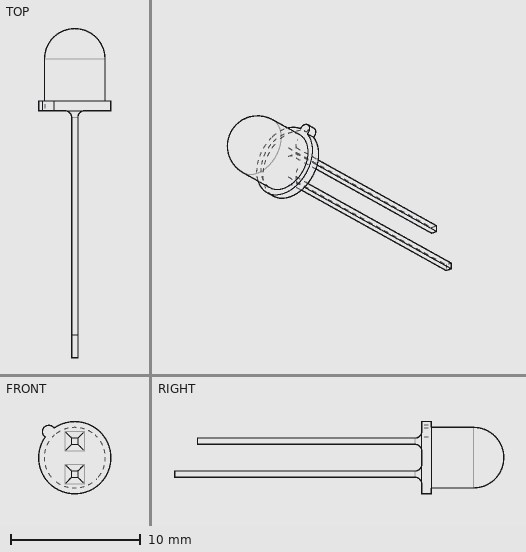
import cadquery as cq
import math


flange_diameter = 5.59
flange_thickness = 0.76
lens_diameter = 4.7
body_length = 6.35

tab_radius = 0.5
tab_angle = 135.0
tab_center_distance = 2.835

overall_length = 25.4
lead_width = 0.5
lead_pitch = 2.54
lead_length_difference = 1.76
flare_radius = 0.5

lens_radius = lens_diameter / 2
dome_start = body_length - lens_radius
long_lead_length = overall_length - body_length
short_lead_length = long_lead_length - lead_length_difference


def make_lens():
    """Cylinder with a hemispherical tip, revolved about the Y axis."""
    arc_offset = lens_radius * math.sqrt(0.5)
    return (
        cq.Workplane("ZY")
        .lineTo(lens_radius, 0)
        .lineTo(lens_radius, dome_start)
        .threePointArc((arc_offset, dome_start + arc_offset), (0, body_length))
        .close()
        .revolve(360, (0, 0, 0), (0, 1, 0))
    )


def make_disc(radius, x, z):
    """Disc as thick as the flange, standing on the Y = 0 plane."""
    disc = cq.Workplane("XZ").circle(radius).extrude(-flange_thickness)
    return disc.translate((x, 0, z))


def make_flange():
    """Round flange with the polarity tab at its upper left."""
    angle = math.radians(tab_angle)
    tab_x = tab_center_distance * math.cos(angle)
    tab_z = tab_center_distance * math.sin(angle)
    return make_disc(flange_diameter / 2, 0, 0).union(make_disc(tab_radius, tab_x, tab_z))


def make_flare_profile(plane):
    """Prism whose concave sides widen toward Y = 0; local y of the plane must run along Y."""
    half_lead = lead_width / 2
    half_base = half_lead + flare_radius
    arc_offset = flare_radius * (1 - math.sqrt(0.5))
    return (
        cq.Workplane(plane)
        .moveTo(-half_base, 0)
        .threePointArc((-half_lead - arc_offset, -arc_offset), (-half_lead, -flare_radius))
        .lineTo(half_lead, -flare_radius)
        .threePointArc((half_lead + arc_offset, -arc_offset), (half_base, 0))
        .close()
        .extrude(half_base, both=True)
    )


def make_lead(length, z):
    """Square lead with a mitred, concave flare at its root."""
    pin = cq.Workplane("XZ").rect(lead_width, lead_width).extrude(length)
    flare = make_flare_profile("XY").intersect(make_flare_profile("ZY"))
    return pin.union(flare).translate((0, 0, z))


result = (
    make_lens()
    .union(make_flange())
    .union(make_lead(short_lead_length, lead_pitch / 2))
    .union(make_lead(long_lead_length, -lead_pitch / 2))
)